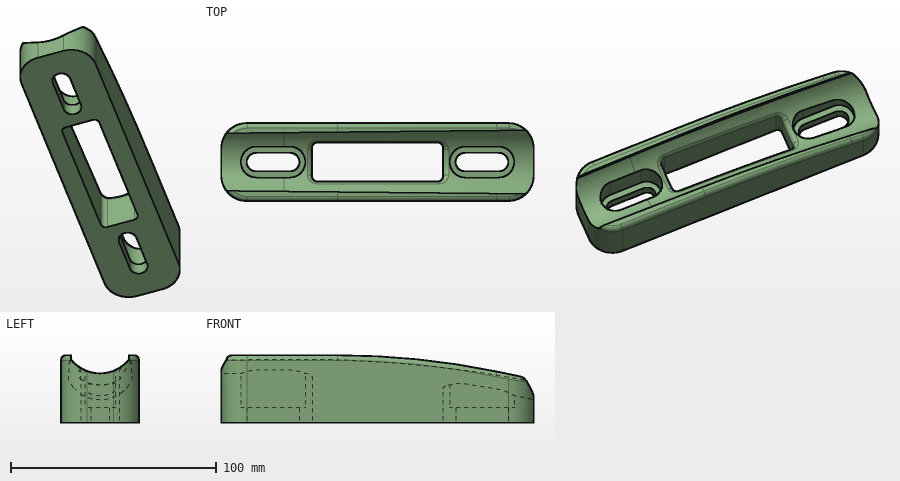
import cadquery as cq
import math

length = 152.4
width = 38.1
height = 33.0
corner_radius = 12.5

arc_start_x = -19.7
arc_end_x = 58.0
top_radius = 384.0
lip_fillet = 2.5

trough_radius = 18.3
trough_depth = 8.8
trough_bend_x = -45.7
trough_bend_radius = 586.7
trough_left_half_width = 14.0
trough_right_half_width = 15.5

window_length = 63.7
window_width = 18.9
window_corner_radius = 2.5
window_rim_fillet = 2.5

slot_offset = 50.9
slot_length = 25.6
slot_width = 8.8
recess_length = 31.4
recess_width = 15.1
recess_floor = 7.6


def make_block():
    """Rounded bar with the falling top and a rounded upper edge."""
    arc_angle = math.asin((arc_end_x - arc_start_x) / top_radius)

    def arc_point(angle):
        x = arc_start_x + top_radius * math.sin(angle)
        z = height - top_radius * (1 - math.cos(angle))
        return x, z

    arc_end_z = arc_point(arc_angle)[1]
    end_z = arc_end_z - (length / 2 - arc_end_x) * math.tan(arc_angle)
    profile = (
        cq.Workplane("XZ")
        .moveTo(-length / 2, 0)
        .lineTo(-length / 2, height)
        .lineTo(arc_start_x, height)
        .threePointArc(arc_point(arc_angle / 2), (arc_end_x, arc_end_z))
        .lineTo(length / 2, end_z)
        .lineTo(length / 2, 0)
        .close()
        .extrude(width / 2, both=True)
    )
    rounded = profile.edges("|Z").fillet(corner_radius)
    rim_point = (-length / 4, -width / 2, height)
    return rounded.edges(cq.selectors.NearestToPointSelector(rim_point)).fillet(lip_fillet)


def make_trough():
    """Round channel, limited sideways by upright walls that spread toward +X."""
    axis_z = height - trough_depth + trough_radius
    end_x = length / 2 + trough_radius
    bend_plane = cq.Workplane("YZ", origin=(trough_bend_x, 0, axis_z))
    level_part = bend_plane.circle(trough_radius).extrude(-end_x - trough_bend_x)
    bend_angle = math.degrees(math.asin((end_x - trough_bend_x) / trough_bend_radius))
    center_drop = trough_bend_radius + trough_radius
    bent_part = bend_plane.circle(trough_radius).revolve(bend_angle, (0, -center_drop), (1, -center_drop))
    walls = (
        cq.Workplane("XY")
        .polyline([
            (-length / 2, -trough_left_half_width),
            (length / 2, -trough_right_half_width),
            (length / 2, trough_right_half_width),
            (-length / 2, trough_left_half_width),
        ])
        .close()
        .extrude(height)
    )
    return walls.intersect(level_part.union(bent_part))


def cut_window(body):
    """Rectangular opening through the trough floor with a rounded rim."""
    window = (
        cq.Workplane("XY")
        .rect(window_length, window_width)
        .extrude(height)
        .edges("|Z")
        .fillet(window_corner_radius)
    )
    margin = 0.2
    rim_zone = cq.selectors.BoxSelector(
        (-window_length / 2 - margin, -window_width / 2 - margin, height / 3),
        (window_length / 2 + margin, window_width / 2 + margin, height),
    )
    upright = cq.selectors.ParallelDirSelector(cq.Vector(0, 0, 1))
    return body.cut(window).edges(rim_zone - upright).fillet(window_rim_fillet)


def cut_slots(body):
    """Through slots at both ends, each with a wider recess above its floor."""
    centers = [(-slot_offset, 0), (slot_offset, 0)]
    slots = cq.Workplane("XY").pushPoints(centers).slot2D(slot_length, slot_width).extrude(height)
    recesses = (
        cq.Workplane("XY", origin=(0, 0, recess_floor))
        .pushPoints(centers)
        .slot2D(recess_length, recess_width)
        .extrude(height)
    )
    return body.cut(slots).cut(recesses)


block = make_block()
result = cut_slots(cut_window(block.cut(make_trough())))